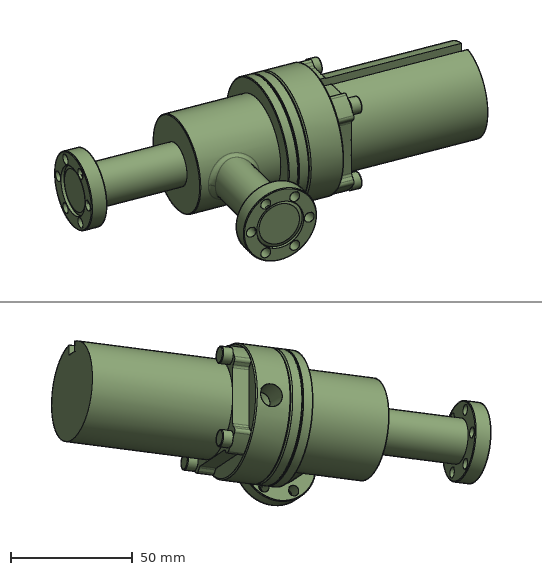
import cadquery as cq
import math

TOTAL_LENGTH = 181.1

FLANGE_DIAMETER = 33.9
FLANGE_THICKNESS = 7.2
FLANGE_CHAMFER = 0.4
BOLT_COUNT = 6
BOLT_CIRCLE = 26.8
BOLT_HOLE = 4.5
RECESS_DIAMETER = 21.7
RECESS_DEPTH = 1.5
SEAL_FACE_DIAMETER = 18.7
SEAL_FACE_DEPTH = 0.9

PIPE_DIAMETER = 19.2
BODY_DIAMETER = 42.7
BODY_START = 47.8
BODY_CHAMFER = 0.4
BRANCH_REACH = 63.4
BRANCH_Y = 63.4
BRANCH_FILLET = 2.2

COLLAR_DIAMETER = 56.9
COLLAR_START = 85.1
COLLAR_END = 110.8
COLLAR_FRONT_CHAMFER = 0.4
COLLAR_REAR_CHAMFER = 0.5
GROOVE_DEPTH = 0.5
SQUARE_GROOVE = (89.5, 90.2)
V_GROOVE = (94.4, 95.6)
PORT_Y = 104.0
PORT_DIAMETER = 9.8
PORT_BOTTOM_DIAMETER = 8.1
PORT_DEPTH = 10.9
DRILL_POINT_ANGLE = 118.0

PLATE_END = 118.0
PLATE_FLAT = 21.0
LOBE_DIAMETER = 56.1
LOBE_WIDTH = 11.8
LOBE_FILLET = 1.6
SCREW_OFFSET = 18.0
SCREW_HEAD_DIAMETER = 7.2
SCREW_HEAD_HEIGHT = 4.7
SCREW_HEAD_CHAMFER = 0.4

TUBE_DIAMETER = 41.8
SLOT_WIDTH = 5.6
SLOT_DEPTH = 4.5


def cross_section(y):
    """Workplane across the main axis, facing +Y."""
    return cq.Workplane(cq.Plane(origin=(0, y, 0), xDir=(1, 0, 0), normal=(0, 1, 0)))


def cylinder(diameter, start, end):
    """Cylinder on the main axis between two Y positions."""
    return cross_section(start).circle(diameter / 2).extrude(end - start)


def turn(points):
    """Solid turned about the Y axis from (radius, y) points."""
    return cq.Workplane("XY").polyline(points).close().revolve(360, (0, 0), (0, 1))


def make_flange():
    """Flange with its outer face at Y = 0 and its bolt circle through it."""
    flange = cylinder(FLANGE_DIAMETER, 0, FLANGE_THICKNESS).edges().chamfer(FLANGE_CHAMFER)
    recess = turn([
        (0, 0),
        (RECESS_DIAMETER / 2, 0),
        (RECESS_DIAMETER / 2, RECESS_DEPTH),
        (SEAL_FACE_DIAMETER / 2, SEAL_FACE_DEPTH),
        (0, SEAL_FACE_DEPTH),
    ])
    holes = (
        cross_section(0)
        .polarArray(BOLT_CIRCLE / 2, 0, 360, BOLT_COUNT)
        .circle(BOLT_HOLE / 2)
        .extrude(FLANGE_THICKNESS)
    )
    return flange.cut(recess).cut(holes)


def make_body():
    """Valve body with the front pipe and the side branch, flanges included."""
    body = cylinder(BODY_DIAMETER, BODY_START, COLLAR_START)
    body = body.faces("<Y").edges().chamfer(BODY_CHAMFER)
    branch_length = BRANCH_REACH - FLANGE_THICKNESS / 2
    branch = (
        cq.Workplane("YZ")
        .center(BRANCH_Y, 0)
        .circle(PIPE_DIAMETER / 2)
        .extrude(branch_length)
    )
    body = body.union(branch)
    joint = cq.selectors.BoxSelector(
        (BODY_DIAMETER / 4, BRANCH_Y - PIPE_DIAMETER, -PIPE_DIAMETER),
        (BODY_DIAMETER / 2, BRANCH_Y + PIPE_DIAMETER, PIPE_DIAMETER),
    )
    body = body.edges(joint).edges("not %CIRCLE").edges("not %LINE").fillet(BRANCH_FILLET)

    flange = make_flange()
    branch_flange = flange.rotate((0, 0, 0), (0, 0, 1), 90).translate((BRANCH_REACH, BRANCH_Y, 0))
    front_pipe = cylinder(PIPE_DIAMETER, FLANGE_THICKNESS / 2, BODY_START)
    return body.union(front_pipe).union(flange).union(branch_flange)


def make_collar():
    """Grooved collar with a tapered port drilled in from the -X side."""
    collar = cylinder(COLLAR_DIAMETER, COLLAR_START, COLLAR_END)
    collar = collar.faces("<Y").edges().chamfer(COLLAR_FRONT_CHAMFER)
    collar = collar.faces(">Y").edges().chamfer(COLLAR_REAR_CHAMFER)
    outer = COLLAR_DIAMETER / 2
    groove_bottom = outer - GROOVE_DEPTH
    start, end = SQUARE_GROOVE
    collar = collar.cut(turn([(outer, start), (groove_bottom, start), (groove_bottom, end), (outer, end)]))
    start, end = V_GROOVE
    collar = collar.cut(turn([(outer, start), (groove_bottom, (start + end) / 2), (outer, end)]))

    bottom_radius = PORT_BOTTOM_DIAMETER / 2
    point_length = bottom_radius / math.tan(math.radians(DRILL_POINT_ANGLE / 2))
    port_bottom = -outer + PORT_DEPTH
    port = (
        cq.Workplane("XY")
        .moveTo(-outer, PORT_Y)
        .lineTo(-outer, PORT_Y + PORT_DIAMETER / 2)
        .lineTo(port_bottom, PORT_Y + bottom_radius)
        .lineTo(port_bottom + point_length, PORT_Y)
        .close()
        .revolve(360, (-outer, PORT_Y), (0, PORT_Y))
    )
    return collar.cut(port)


def make_plate():
    """Square plate whose four diagonal lobes end on a common circle."""
    thickness = PLATE_END - COLLAR_END
    start_plane = cross_section(COLLAR_END)
    disc = cylinder(LOBE_DIAMETER, COLLAR_END, PLATE_END)
    plate = start_plane.rect(2 * PLATE_FLAT, 2 * PLATE_FLAT).extrude(thickness)
    for angle in (45, 135):
        bar = start_plane.rect(2 * LOBE_DIAMETER, LOBE_WIDTH).extrude(thickness)
        plate = plate.union(bar.rotate((0, 0, 0), (0, 1, 0), angle))
    plate = plate.intersect(disc).clean()
    return plate.edges("|Y").fillet(LOBE_FILLET)


def make_screw_heads():
    """Screw heads standing on the lobes."""
    heads = (
        cross_section(PLATE_END)
        .rect(2 * SCREW_OFFSET, 2 * SCREW_OFFSET, forConstruction=True)
        .vertices()
        .circle(SCREW_HEAD_DIAMETER / 2)
        .extrude(SCREW_HEAD_HEIGHT)
    )
    return heads.faces(">Y").edges().chamfer(SCREW_HEAD_CHAMFER)


def make_slot():
    """Slot along the top of the rear tube, running up to the collar."""
    slot_floor = TUBE_DIAMETER / 2 - SLOT_DEPTH
    slot_length = TOTAL_LENGTH - COLLAR_END
    slot = cq.Workplane("XY").box(
        SLOT_WIDTH, slot_length, TUBE_DIAMETER / 2, centered=(True, False, False)
    )
    return slot.translate((0, COLLAR_END, slot_floor))


rear = cylinder(TUBE_DIAMETER, COLLAR_END, TOTAL_LENGTH).union(make_plate()).cut(make_slot())
result = make_body().union(make_collar()).union(rear).union(make_screw_heads())